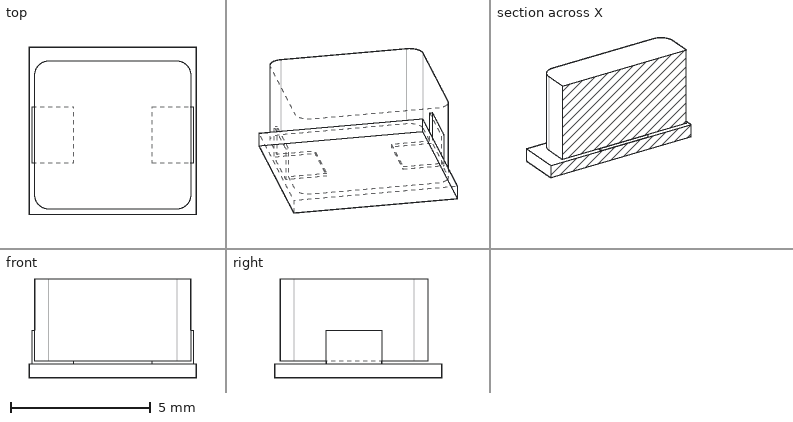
import cadquery as cq

plate_side = 6.0
plate_thickness = 0.5

body_length = 5.6
body_width = 5.3
body_height = 2.95
body_corner_radius = 0.5
body_front_margin = 0.2

terminal_thickness = 0.1
terminal_width = 2.0
terminal_height = 1.2
terminal_foot_length = 1.5

body_center_y = -plate_side / 2 + body_front_margin + body_width / 2
body_bottom_z = plate_thickness + terminal_thickness
terminal_outer_x = body_length / 2 + terminal_thickness


def make_plate():
    return cq.Workplane("XY").rect(plate_side, plate_side).extrude(plate_thickness)


def make_body():
    return (
        cq.Workplane("XY", origin=(0, body_center_y, body_bottom_z))
        .rect(body_length, body_width)
        .extrude(body_height)
        .edges("|Z")
        .fillet(body_corner_radius)
    )


def make_terminal(side):
    """L-shaped terminal on the +X (side = 1) or -X (side = -1) end."""
    outer_x = side * terminal_outer_x
    wall_inner_x = side * (terminal_outer_x - terminal_thickness)
    foot_end_x = side * (terminal_outer_x - terminal_foot_length)
    top_z = plate_thickness + terminal_height
    profile = [
        (outer_x, plate_thickness),
        (outer_x, top_z),
        (wall_inner_x, top_z),
        (wall_inner_x, body_bottom_z),
        (foot_end_x, body_bottom_z),
        (foot_end_x, plate_thickness),
    ]
    return (
        cq.Workplane("XZ", origin=(0, body_center_y, 0))
        .polyline(profile)
        .close()
        .extrude(terminal_width / 2, both=True)
    )


result = make_plate().union(make_body())
for end in (-1, 1):
    result = result.union(make_terminal(end))